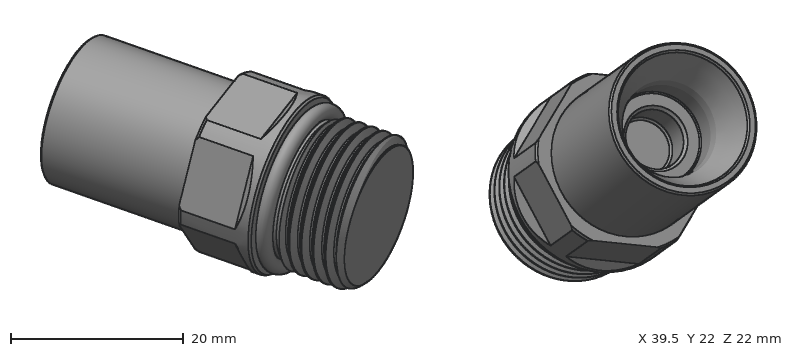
import cadquery as cq
import math

total_length = 39.5

tube_radius = 18.3 / 2
tube_chamfer = 0.25

hex_sides = 6
hex_start = 19.05
hex_flat_end = 26.45
hex_across_flats = 20.05
flange_radius = 22.0 / 2
flange_end = 28.5
front_chamfer_length = 0.35
rear_chamfer_length = 0.3
flange_chamfer_height = 0.2

ring_section_radius = 1.0
ring_outer_radius = 10.43
ring_station = flange_end + ring_section_radius

thread_root_radius = 17.1 / 2
thread_crest_radius = 19.0 / 2
thread_start = 30.6
thread_pitch = 1.58
thread_base_width = 1.3
thread_crest_width = 0.2
crest_station = 32.35
root_overlap = 0.1
envelope_clearance = 0.4

mouth_radius = 16.45 / 2
mouth_chamfer = 0.25
cone_end_radius = 11.6 / 2
cone_end = 4.65
bore_radius = 11.15 / 2
bore_start = 5.85
bore_floor = 9.05
bore_floor_radius = 10.8 / 2
pocket_mouth_radius = 7.9 / 2
pocket_radius = 7.15 / 2
pocket_chamfer = pocket_mouth_radius - pocket_radius
pocket_floor_radius = 6.6 / 2
pocket_floor = 13.3


def turned(points):
    """Revolve a closed (station, radius) outline about the X axis."""
    return cq.Workplane("XY").polyline(points).close().revolve(360, (0, 0, 0), (1, 0, 0))


def make_tube():
    length = hex_start + tube_chamfer
    tube = cq.Workplane("YZ").circle(tube_radius).extrude(length)
    return tube.faces("<X").chamfer(tube_chamfer)


def make_hexagon():
    """Flange blank with six flats, each ending in a 45 degree run-out."""
    chamfered_radius = flange_radius - flange_chamfer_height
    body = turned([
        (hex_start, 0),
        (hex_start, chamfered_radius),
        (hex_start + front_chamfer_length, flange_radius),
        (flange_end - rear_chamfer_length, flange_radius),
        (flange_end, chamfered_radius),
        (flange_end, 0),
    ])
    flat_height = hex_across_flats / 2
    cut_height = 2 * flange_radius - flat_height
    run_out = cut_height - flat_height
    flat_cutter = (
        cq.Workplane("XZ")
        .polyline([
            (hex_start, flat_height),
            (hex_flat_end, flat_height),
            (hex_flat_end + run_out, cut_height),
            (hex_start, cut_height),
        ])
        .close()
        .extrude(flange_radius, both=True)
    )
    for side in range(hex_sides):
        body = body.cut(flat_cutter.rotate((0, 0, 0), (1, 0, 0), 360 / hex_sides * side))
    return body


def make_sealing_ring():
    centre_radius = ring_outer_radius - ring_section_radius
    return (
        cq.Workplane("XY")
        .center(ring_station, centre_radius)
        .circle(ring_section_radius)
        .revolve(360, (0, -centre_radius, 0), (1, -centre_radius, 0))
    )


def make_thread():
    """Helical ridge, chamfered at 45 degrees at both ends, on a plain core."""
    core = (
        cq.Workplane("YZ", origin=(flange_end, 0, 0))
        .circle(thread_root_radius)
        .extrude(total_length - flange_end)
    )
    turns_back = math.ceil((crest_station - thread_start) / thread_pitch)
    helix_start = crest_station - turns_back * thread_pitch
    turns = math.ceil((total_length - helix_start) / thread_pitch) + 1
    base_radius = thread_root_radius - root_overlap
    thread_depth = thread_crest_radius - thread_root_radius
    flank_slope = (thread_base_width - thread_crest_width) / 2 / thread_depth
    half_base = thread_base_width / 2 + flank_slope * root_overlap
    half_crest = thread_crest_width / 2
    helix = cq.Wire.makeHelix(thread_pitch, turns * thread_pitch, thread_root_radius)
    ridge = (
        cq.Workplane("XZ")
        .polyline([
            (base_radius, -half_base),
            (thread_crest_radius, -half_crest),
            (thread_crest_radius, half_crest),
            (base_radius, half_base),
        ])
        .close()
        .sweep(helix, isFrenet=True)
        .rotate((0, 0, 0), (0, 1, 0), 90)
        .rotate((0, 0, 0), (1, 0, 0), 180)
        .translate((helix_start, 0, 0))
    )
    chamfer = thread_depth + envelope_clearance
    envelope_radius = thread_root_radius + chamfer
    envelope = turned([
        (thread_start, 0),
        (thread_start, thread_root_radius),
        (thread_start + chamfer, envelope_radius),
        (total_length - chamfer, envelope_radius),
        (total_length, thread_root_radius),
        (total_length, 0),
    ])
    return core.union(ridge.intersect(envelope))


def make_bore():
    return turned([
        (0, 0),
        (0, mouth_radius),
        (mouth_chamfer, mouth_radius - mouth_chamfer),
        (cone_end, cone_end_radius),
        (bore_start, bore_radius),
        (bore_floor - (bore_radius - bore_floor_radius), bore_radius),
        (bore_floor, bore_floor_radius),
        (bore_floor, pocket_mouth_radius),
        (bore_floor + pocket_chamfer, pocket_radius),
        (pocket_floor - (pocket_radius - pocket_floor_radius), pocket_radius),
        (pocket_floor, pocket_floor_radius),
        (pocket_floor, 0),
    ])


result = (
    make_tube()
    .union(make_hexagon())
    .union(make_thread())
    .union(make_sealing_ring())
    .cut(make_bore())
)